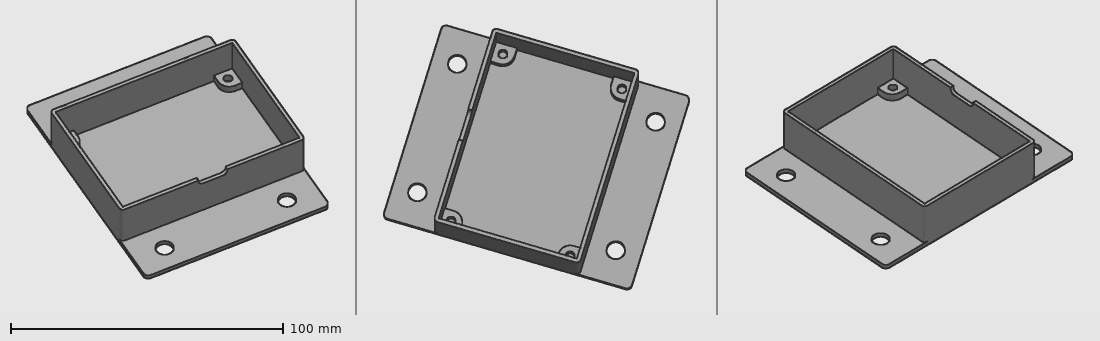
import cadquery as cq

plate_length = 95.1
plate_width = 76.35
plate_thickness = 1.8
plate_corner_radius = 2.0
mount_hole_diameter = 6.75
mount_hole_spacing_x = 76.1
mount_hole_spacing_y = 50.8

total_height = 18.8
box_length = 56.0
box_corner_radius = 1.5
wall_thickness = 1.5
floor_thickness = plate_thickness
cavity_length = box_length - 2 * wall_thickness
cavity_width = plate_width - 2 * wall_thickness
cavity_depth = total_height - floor_thickness

boss_length = 8.0
boss_width = 7.6
boss_height = 3.0
boss_corner_radius = 4.6
boss_hole_diameter = 3.3
boss_hole_spacing_x = 45.6
boss_hole_spacing_y = 66.0

notch_width = 12.0
notch_depth = 2.5
notch_corner_radius = 2.0


def make_plate():
    """Flange plate with rounded corners and four mounting holes."""
    return (
        cq.Workplane("XY")
        .rect(plate_length, plate_width)
        .extrude(plate_thickness)
        .edges("|Z")
        .fillet(plate_corner_radius)
        .faces(">Z")
        .workplane()
        .rect(mount_hole_spacing_x, mount_hole_spacing_y, forConstruction=True)
        .vertices()
        .hole(mount_hole_diameter)
    )


def make_box():
    """Solid outer block of the box with rounded vertical edges."""
    return (
        cq.Workplane("XY")
        .rect(box_length, plate_width)
        .extrude(total_height)
        .edges("|Z")
        .fillet(box_corner_radius)
    )


def make_cavity():
    """Volume removed from the box above its floor."""
    return (
        cq.Workplane("XY", origin=(0, 0, floor_thickness))
        .rect(cavity_length, cavity_width)
        .extrude(cavity_depth)
    )


def make_boss(side_x, side_y):
    """Corner boss; side_x and side_y (each -1 or 1) choose the cavity corner."""
    center_x = side_x * (cavity_length - boss_length) / 2
    center_y = side_y * (cavity_width - boss_width) / 2
    inner_edge = ("<X" if side_x > 0 else ">X") + " and " + ("<Y" if side_y > 0 else ">Y")
    hole = (
        cq.Workplane("XY", origin=(0, 0, floor_thickness))
        .center(side_x * boss_hole_spacing_x / 2, side_y * boss_hole_spacing_y / 2)
        .circle(boss_hole_diameter / 2)
        .extrude(boss_height)
    )
    return (
        cq.Workplane("XY", origin=(0, 0, floor_thickness))
        .center(center_x, center_y)
        .rect(boss_length, boss_width)
        .extrude(boss_height)
        .edges("|Z")
        .edges(inner_edge)
        .fillet(boss_corner_radius)
        .cut(hole)
    )


def make_notch():
    """Rim cutout through the +X wall with rounded lower corners."""
    return (
        cq.Workplane("XY")
        .box(wall_thickness, notch_width, notch_depth)
        .edges("|X and <Z")
        .fillet(notch_corner_radius)
        .translate(((box_length - wall_thickness) / 2, 0, total_height - notch_depth / 2))
    )


result = make_plate().union(make_box()).cut(make_cavity()).cut(make_notch())
for side_x in (-1, 1):
    for side_y in (-1, 1):
        result = result.union(make_boss(side_x, side_y))